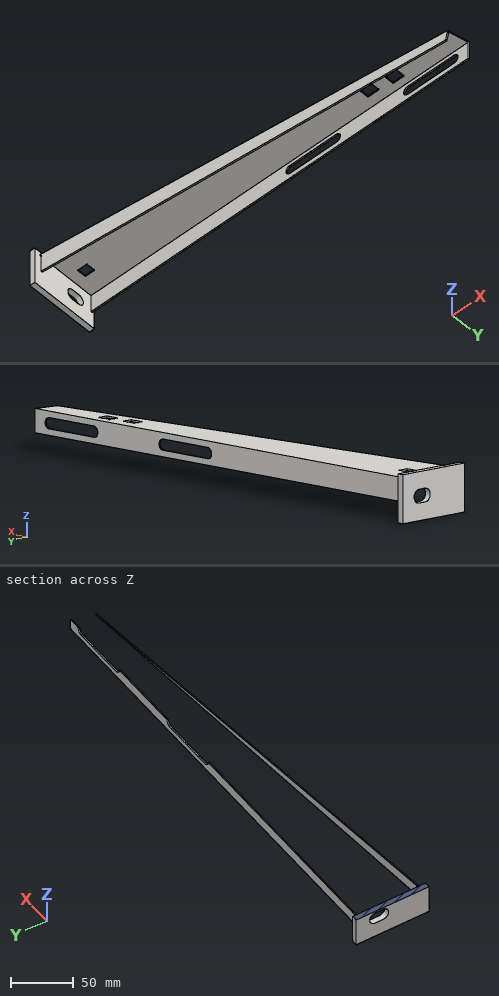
import cadquery as cq
import math

plate_thickness = 5.5
plate_width = 70.0
plate_height = 40.0
plate_slot_length = 18.0
plate_slot_width = 11.0
plate_slot_y = 13.0

arm_rear_margin = 2.5
arm_top_margin = 3.0

overall_length = 416.0
sheet_thickness = 1.5
arm_height = 20.0
arm_root_width = 61.3
arm_tip_width = 21.3
arm_top_z = plate_height / 2 - arm_top_margin
arm_rear_y = plate_width / 2 - arm_rear_margin
tip_setback = 4.3
front_flange_relief = 1.0
front_flange_tip_height = 10.0

web_hole_width = 9.0
root_hole = (21.5, 8.0, 10.0, web_hole_width)
outer_holes = [
    (322.0, 16.5, 12.0, web_hole_width),
    (347.0, 19.0, 12.0, web_hole_width),
]

rear_slot_length = 59.0
rear_slot_width = 9.0
rear_slot_pitch = 128.0
outer_rear_slot_x = 375.0
rear_slot_centres = [outer_rear_slot_x - rear_slot_pitch, outer_rear_slot_x]

arm_bottom_z = arm_top_z - arm_height
front_root_y = arm_rear_y - arm_root_width
front_tip_y = arm_rear_y - arm_tip_width
front_tip_x = overall_length - tip_setback
taper_angle = math.atan2(front_tip_y - front_root_y, front_tip_x - plate_thickness)
flange_inset = sheet_thickness / math.cos(taper_angle)
tip_slope = tip_setback / arm_tip_width


def make_plate():
    plate = cq.Workplane("XY").box(plate_thickness, plate_width, plate_height)
    plate = plate.translate((plate_thickness / 2, 0, 0))
    slot = (
        cq.Workplane("YZ")
        .center(plate_slot_y, 0)
        .slot2D(plate_slot_length, plate_slot_width)
        .extrude(plate_thickness)
    )
    return plate.cut(slot)


def make_channel():
    """Tapered block hollowed from below, leaving the web and two flanges."""
    block = (
        cq.Workplane("XY", origin=(0, 0, arm_bottom_z))
        .polyline([
            (plate_thickness, front_root_y),
            (front_tip_x, front_tip_y),
            (overall_length, arm_rear_y),
            (plate_thickness, arm_rear_y),
        ])
        .close()
        .extrude(arm_height)
    )
    hollow_end_x = overall_length + tip_setback
    hollow_end_y = front_root_y + (hollow_end_x - plate_thickness) * math.tan(taper_angle)
    hollow = (
        cq.Workplane("XY", origin=(0, 0, arm_bottom_z))
        .polyline([
            (plate_thickness, front_root_y + flange_inset),
            (hollow_end_x, hollow_end_y + flange_inset),
            (hollow_end_x, arm_rear_y - sheet_thickness),
            (plate_thickness, arm_rear_y - sheet_thickness),
        ])
        .close()
        .extrude(arm_height - sheet_thickness)
    )
    return block.cut(hollow)


def make_front_flange_trim():
    """Waste at the plate relief, below the rising edge and beyond the slanted end of the front flange."""
    start_x = plate_thickness + front_flange_relief
    web_underside_z = arm_top_z - sheet_thickness
    trim_tip_x = front_tip_x - tip_slope * front_flange_tip_height
    trim_tip_z = arm_top_z - front_flange_tip_height
    mid_tip_y = arm_rear_y - arm_tip_width / 2
    return (
        cq.Workplane("XZ", origin=(0, mid_tip_y, 0))
        .polyline([
            (plate_thickness, arm_bottom_z),
            (plate_thickness, web_underside_z),
            (start_x, web_underside_z),
            (start_x, arm_bottom_z),
            (trim_tip_x, trim_tip_z),
            (front_tip_x - tip_slope * sheet_thickness, web_underside_z),
            (overall_length, web_underside_z),
            (overall_length, arm_bottom_z),
        ])
        .close()
        .extrude(arm_root_width)
    )


def make_web_hole(x, y, length, width):
    return (
        cq.Workplane("XY", origin=(x, y, arm_top_z - sheet_thickness))
        .rect(length, width)
        .extrude(sheet_thickness)
    )


def make_rear_slot(x):
    return (
        cq.Workplane("XZ", origin=(x, arm_rear_y, arm_top_z - arm_height / 2))
        .slot2D(rear_slot_length, rear_slot_width)
        .extrude(sheet_thickness)
    )


def make_arm():
    arm = make_channel().cut(make_front_flange_trim())
    for hole in [root_hole, *outer_holes]:
        arm = arm.cut(make_web_hole(*hole))
    for x in rear_slot_centres:
        arm = arm.cut(make_rear_slot(x))
    return arm


plate = make_plate()
arm = make_arm()
result = cq.Compound.makeCompound([plate.val(), arm.val()])